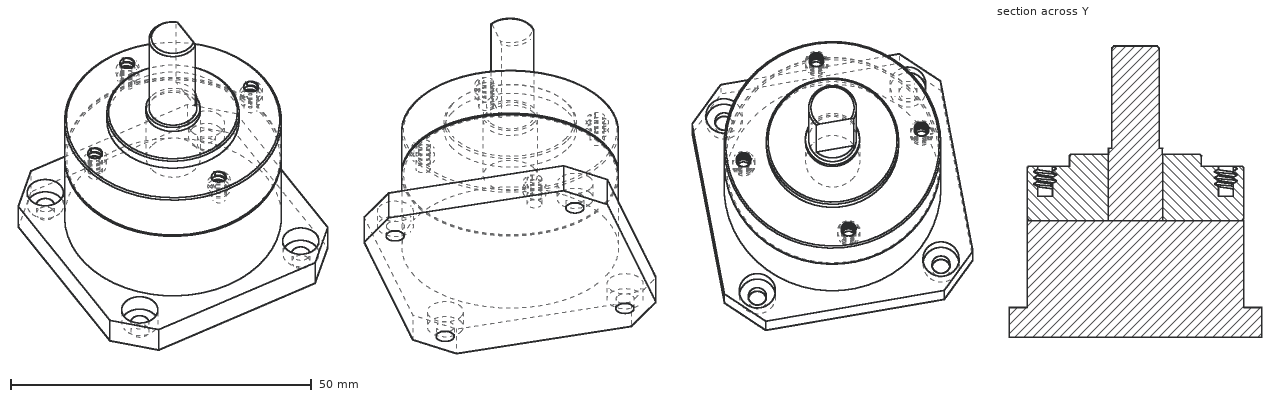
import cadquery as cq
import math

FLANGE_SIDE = 42.0
FLANGE_HEIGHT = 5.0
FLANGE_CORNER_CUT = 5.9
DRUM_RADIUS = 18.05
DRUM_TOP = 19.45

MOUNT_SPACING = 31.05
MOUNT_HOLE_RADIUS = 1.5
MOUNT_BORE_RADIUS = 2 * MOUNT_HOLE_RADIUS
MOUNT_BORE_FLOOR = 2.0

COVER_TOP = 28.5
COVER_CHAMFER = 0.3
BOSS_RADIUS = 11.0
BOSS_TOP = 30.5
BOSS_CHAMFER = 0.3

TAPPED_HOLE_COUNT = 4
TAPPED_CIRCLE_RADIUS = 15.05
TAPPED_HOLE_RADIUS = 1.2
TAPPED_HOLE_DEPTH = 5.0
THREAD_PITCH = 1.0
THREAD_TURNS = 3
THREAD_WIDTH = 0.8
THREAD_DEPTH = THREAD_WIDTH / 2 * math.tan(math.radians(60))
THREAD_TOP_DEPTH = 0.45
THREAD_OVERLAP = 0.05

SHAFT_RADIUS = 4.0
SHAFT_TOP = 48.5
SHAFT_CHAMFER = 0.4
COLLAR_RADIUS = 4.5
COLLAR_TOP = 31.5
FLAT_OFFSET = 2.42
FLAT_BOTTOM = 33.5


def cylinder(radius, bottom, top):
    return cq.Workplane("XY").workplane(offset=bottom).circle(radius).extrude(top - bottom)


def mount_holes(radius, bottom):
    return (
        cq.Workplane("XY")
        .workplane(offset=bottom)
        .rect(MOUNT_SPACING, MOUNT_SPACING, forConstruction=True)
        .vertices()
        .circle(radius)
        .extrude(FLANGE_HEIGHT - bottom)
    )


def make_base():
    flange = cq.Workplane("XY").rect(FLANGE_SIDE, FLANGE_SIDE).extrude(FLANGE_HEIGHT)
    flange = flange.edges("|Z").chamfer(FLANGE_CORNER_CUT)
    flange = flange.cut(mount_holes(MOUNT_HOLE_RADIUS, 0))
    flange = flange.cut(mount_holes(MOUNT_BORE_RADIUS, MOUNT_BORE_FLOOR))
    return flange.union(cylinder(DRUM_RADIUS, 0, DRUM_TOP))


def make_thread_groove():
    """Right-handed V groove around the Z axis, its upper end just below the cover's top face."""
    rise = THREAD_PITCH * THREAD_TURNS
    half_mouth = THREAD_WIDTH / 2 * (1 + THREAD_OVERLAP / THREAD_DEPTH)
    mouth_radius = TAPPED_HOLE_RADIUS - THREAD_OVERLAP
    profile = cq.Workplane("XZ").polyline(
        [
            (mouth_radius, -half_mouth),
            (TAPPED_HOLE_RADIUS + THREAD_DEPTH, 0),
            (mouth_radius, half_mouth),
        ]
    ).close()
    helix = cq.Wire.makeHelix(THREAD_PITCH, rise, TAPPED_HOLE_RADIUS)
    groove = profile.sweep(cq.Workplane(helix), isFrenet=True)
    groove = groove.rotate((0, 0, 0), (0, 0, 1), 180)
    return groove.translate((0, 0, COVER_TOP - THREAD_TOP_DEPTH - rise))


def make_cover():
    body = cylinder(DRUM_RADIUS, DRUM_TOP, COVER_TOP).edges().chamfer(COVER_CHAMFER)
    boss = cylinder(BOSS_RADIUS, COVER_TOP, BOSS_TOP).faces(">Z").edges().chamfer(BOSS_CHAMFER)
    cover = body.union(boss)
    cover = cover.cut(cylinder(COLLAR_RADIUS, DRUM_TOP, BOSS_TOP))

    hole = cylinder(TAPPED_HOLE_RADIUS, COVER_TOP - TAPPED_HOLE_DEPTH, COVER_TOP)
    groove = make_thread_groove()
    for i in range(TAPPED_HOLE_COUNT):
        angle = 2 * math.pi * i / TAPPED_HOLE_COUNT
        place = (TAPPED_CIRCLE_RADIUS * math.cos(angle), TAPPED_CIRCLE_RADIUS * math.sin(angle), 0)
        cover = cover.cut(hole.translate(place))
        cover = cover.cut(groove.translate(place))
    return cover


def make_shaft():
    collar = cylinder(COLLAR_RADIUS, DRUM_TOP, COLLAR_TOP)
    stem = cylinder(SHAFT_RADIUS, COLLAR_TOP, SHAFT_TOP).faces(">Z").edges().chamfer(SHAFT_CHAMFER)
    removed = (
        cq.Workplane("XY")
        .workplane(offset=FLAT_BOTTOM)
        .center(0, FLAT_OFFSET + SHAFT_RADIUS / 2)
        .rect(2 * SHAFT_RADIUS, SHAFT_RADIUS)
        .extrude(SHAFT_TOP - FLAT_BOTTOM)
    )
    return collar.union(stem.cut(removed))


base = make_base()
cover = make_cover()
shaft = make_shaft()

result = cq.Compound.makeCompound([base.val(), cover.val(), shaft.val()])